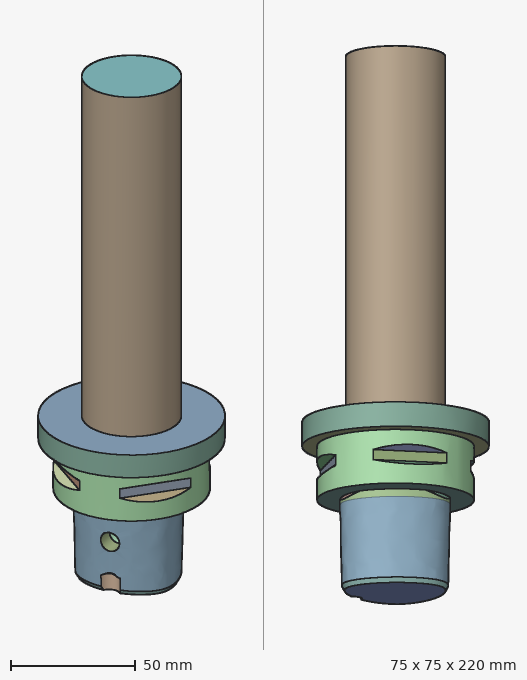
import cadquery as cq
import math


collar_radius = 63 / 2
collar_height = 22
flange_radius = 75 / 2
flange_height = 10
bar_radius = 40 / 2
bar_length = 150

coupling_length = 38
coupling_radius = 22.2
lobe_height = 1.3
taper_slope = 1 / 40
neck_length = 3
tip_chamfer_height = 2
tip_chamfer_depth = 1.1
outline_points = 48

trim_height = 2
trim_radius = 22.3

drill_point_angle = 118
side_hole_radius = 8.3 / 2
side_hole_height = 22.8
side_hole_depth = 8
key_notch_radius = 4.5
key_notch_height = 7
key_notch_outset = 1.3

groove_count = 4
groove_height = 12
groove_depth = 3.85
groove_floor_width = 4.1
groove_mouth_width = 8

coupling_end = -coupling_length
taper_start = -neck_length
taper_end = coupling_end + tip_chamfer_height
taper_end_radius = coupling_radius - taper_slope * (taper_start - taper_end)
flat_distance = taper_end_radius - lobe_height


def lobed_point(mean_radius, angle):
    """Point of the constant-width outline with lobes at 90, 210 and 330 degrees."""
    along = mean_radius * math.cos(angle) - lobe_height * (2 * math.cos(2 * angle) - math.cos(4 * angle))
    across = mean_radius * math.sin(angle) + lobe_height * (2 * math.sin(2 * angle) + math.sin(4 * angle))
    return (across, -along)


def lobed_wire(mean_radius, height):
    angles = [2 * math.pi * index / outline_points for index in range(outline_points)]
    points = [lobed_point(mean_radius, angle) for angle in angles]
    return cq.Workplane("XY", origin=(0, 0, height)).spline(points, periodic=True).wire().val()


def lobed_section(bottom_radius, bottom, top_radius, top):
    wires = [lobed_wire(bottom_radius, bottom), lobed_wire(top_radius, top)]
    return cq.Workplane(cq.Solid.makeLoft(wires, True))


def coupling():
    tip_radius = taper_end_radius - tip_chamfer_depth
    body = lobed_section(coupling_radius, taper_start, coupling_radius, 0)
    body = body.union(lobed_section(taper_end_radius, taper_end, coupling_radius, taper_start))
    body = body.union(lobed_section(tip_radius, coupling_end, taper_end_radius, taper_end))
    envelope_radius = coupling_radius + lobe_height
    envelope = (
        cq.Workplane("XZ")
        .moveTo(0, coupling_end)
        .lineTo(envelope_radius, coupling_end)
        .lineTo(envelope_radius, -trim_height)
        .lineTo(trim_radius, 0)
        .lineTo(0, 0)
        .close()
        .revolve()
    )
    return body.intersect(envelope)


def drill(radius, start, direction, straight_length):
    """Cylinder with a conical point, running from start along direction."""
    start = cq.Vector(*start)
    direction = cq.Vector(*direction)
    shoulder = start + direction * straight_length
    point_height = radius / math.tan(math.radians(drill_point_angle / 2))
    shaft = cq.Solid.makeCylinder(radius, straight_length, start, direction)
    point = cq.Solid.makeCone(radius, 0, point_height, shoulder, direction)
    return cq.Workplane(shaft).union(cq.Workplane(point))


def groove(angle):
    """V-sided groove with a flat floor, cut square to the given direction."""
    floor = collar_radius - groove_depth
    half_floor = groove_floor_width / 2
    half_mouth = groove_mouth_width / 2
    profile = [
        (floor, groove_height - half_floor),
        (collar_radius, groove_height - half_mouth),
        (collar_radius, groove_height + half_mouth),
        (floor, groove_height + half_floor),
    ]
    cutter = cq.Workplane("XZ").polyline(profile).close().extrude(collar_radius, both=True)
    return cutter.rotate((0, 0, 0), (0, 0, 1), angle)


collar = cq.Workplane("XY").circle(collar_radius).extrude(collar_height)
for index in range(groove_count):
    collar = collar.cut(groove((index + 0.5) * 360 / groove_count))

flange = cq.Workplane("XY", origin=(0, 0, collar_height)).circle(flange_radius).extrude(flange_height)
bar_start = collar_height + flange_height
bar = cq.Workplane("XY", origin=(0, 0, bar_start)).circle(bar_radius).extrude(bar_length)

side_hole = drill(
    side_hole_radius,
    (0, -collar_radius, coupling_end + side_hole_height),
    (0, 1, 0),
    collar_radius - flat_distance + side_hole_depth,
)
key_notch = drill(
    key_notch_radius,
    (0, -flat_distance - key_notch_outset, coupling_end),
    (0, 0, 1),
    key_notch_height,
)

result = coupling().cut(side_hole).cut(key_notch).union(collar).union(flange).union(bar)